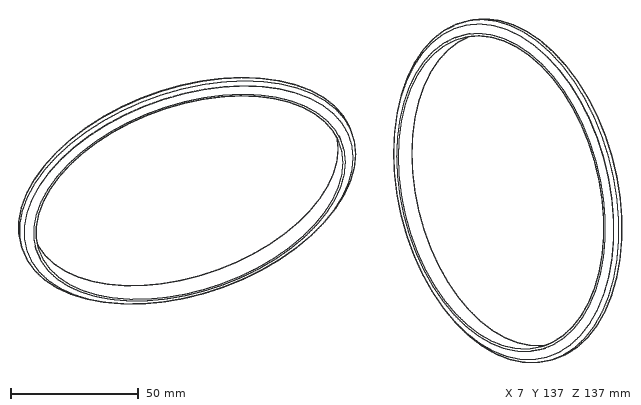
import cadquery as cq

bore_radius = 125.0 / 2
sleeve_radius = 127.0 / 2
crown_radius = 137 / 2
shoulder_radius = 67.0
web_radius = 66.2

sleeve_half_width = 7.0 / 2
crown_half_width = 0.8
shoulder_half_width = 2.2
web_half_width = 1.2

root_fillet = 0.4

right_side = [
    (sleeve_half_width, bore_radius),
    (sleeve_half_width, sleeve_radius),
    (web_half_width, sleeve_radius),
    (web_half_width, web_radius),
    (shoulder_half_width, shoulder_radius),
    (crown_half_width, crown_radius),
]
left_side = [(-x, radius) for x, radius in reversed(right_side)]

ring = (
    cq.Workplane("XY")
    .polyline(right_side + left_side)
    .close()
    .revolve(360, (0, 0, 0), (1, 0, 0))
)


def web_edges(side):
    """Select the two circular edges where the web meets the sleeve and the head."""
    margin = 0.1
    x = side * web_half_width
    reach = crown_radius + margin
    return cq.selectors.BoxSelector(
        (x - margin, -reach, -reach), (x + margin, reach, reach), boundingbox=True
    )


result = ring
for side in (-1, 1):
    result = result.edges(web_edges(side)).fillet(root_fillet)